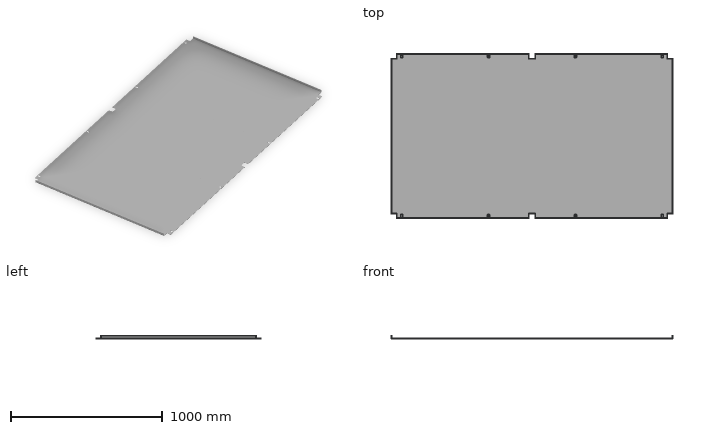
import cadquery as cq

LENGTH = 1850.0
WIDTH = 1080.0
HEIGHT = 20.0
SHEET = 2.0

BEND_INNER_RADIUS = 1.0
BEND_OUTER_RADIUS = BEND_INNER_RADIUS + SHEET

CORNER_NOTCH_LENGTH = 35.0
CENTRE_NOTCH_LENGTH = 40.0
NOTCH_DEPTH = 30.0

SLOT_WIDTH = 12.0
SLOT_LENGTH = 20.0
SLOTS_PER_EDGE = 4
SLOT_END_DISTANCE = 67.5
SLOT_EDGE_DISTANCE = 14.0


def make_folded_sheet():
    """Floor with an upright flange bent up at each X end."""
    outer = cq.Workplane("XY").box(LENGTH, WIDTH, HEIGHT, centered=(True, True, False))
    outer = outer.edges("|Y and <Z").fillet(BEND_OUTER_RADIUS)
    inner = (
        cq.Workplane("XY")
        .workplane(offset=SHEET)
        .box(LENGTH - 2 * SHEET, WIDTH, HEIGHT, centered=(True, True, False))
        .edges("|Y and <Z")
        .fillet(BEND_INNER_RADIUS)
    )
    return outer.cut(inner)


def make_notches():
    """Cutters for the corner notches and the mid-length notches."""
    cutter_width = 2 * NOTCH_DEPTH
    corners = (
        cq.Workplane("XY")
        .rarray(LENGTH, WIDTH, 2, 2)
        .rect(2 * CORNER_NOTCH_LENGTH, cutter_width)
        .extrude(HEIGHT)
    )
    centres = (
        cq.Workplane("XY")
        .rarray(LENGTH, WIDTH, 1, 2)
        .rect(CENTRE_NOTCH_LENGTH, cutter_width)
        .extrude(HEIGHT)
    )
    return corners.union(centres)


def make_slots():
    """Cutters for the evenly spaced round-ended slots in both rows."""
    pitch = (LENGTH - 2 * SLOT_END_DISTANCE) / (SLOTS_PER_EDGE - 1)
    row_spacing = WIDTH - 2 * SLOT_EDGE_DISTANCE
    return (
        cq.Workplane("XY")
        .rarray(pitch, row_spacing, SLOTS_PER_EDGE, 2)
        .slot2D(SLOT_LENGTH, SLOT_WIDTH, 90)
        .extrude(SHEET)
    )


result = make_folded_sheet().cut(make_notches()).cut(make_slots())